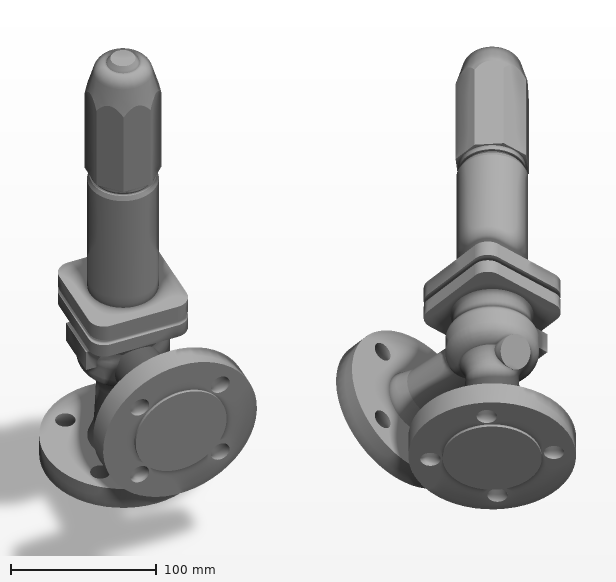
import cadquery as cq
import math

TOTAL_HEIGHT = 357.7
OUTLET_HEIGHT = 100.0
OUTLET_REACH = 100.0

FLANGE_DIA = 115.0
FLANGE_THICKNESS = 17.0
RAISED_FACE_DIA = 68.0
RAISED_FACE_HEIGHT = 2.0
FLANGE_DEPTH = FLANGE_THICKNESS + RAISED_FACE_HEIGHT
BOLT_CIRCLE_DIA = 85.0
BOLT_HOLE_DIA = 14.0
BOLT_HOLE_COUNT = 4

NECK_ROOT_RADIUS = 24.5
FLARE_LENGTH = 14.2
NECK_FLARE_RADIUS = 20.0
FLARE_SAG = 0.3
INLET_NECK_TOP = 67.7
INLET_NECK_RADIUS = 18.5
OUTLET_END_RADIUS = 16.1

BULGE_RADIUS = 32.2
BULGE_LOWER_EDGE = 94.7
BULGE_UPPER_EDGE = 104.5
BULGE_LOWER_ROUND = 12.0
UNDERSIDE_RADIUS = 22.3
UNDERSIDE_FILLET_SAG = 1.6
SHOULDER_RADIUS = 29.5
SHOULDER_HEIGHT = 110.7
COLLAR_RADIUS = 27.2
COLLAR_BOTTOM = 113.9
COLLAR_TOP = 123.9
COLLAR_LIP_RADIUS = 28.5
COLLAR_LIP_SAG = 0.4

SQUARE_WIDTH = 73.2
SQUARE_CORNER_RADIUS = 11.3
LOWER_SQUARE_BOTTOM = 127.0
LOWER_SQUARE_TOP = 137.3
UPPER_SQUARE_BOTTOM = 142.0
UPPER_SQUARE_TOP = 154.0
GASKET_RADIUS = 31.0
GASKET_TOP = 140.0
SPIGOT_RADIUS = 28.5

TUBE_RADIUS = 24.6
TUBE_TOP = 253.2
TUBE_TOP_CHAMFER_HEIGHT = 3.3
TUBE_TOP_RADIUS = 23.0
GROOVE_RADIUS = 21.0
GROOVE_TOP = 256.0
CAP_COLLAR_RADIUS = 23.0

CAP_SIDES = 8
CAP_ACROSS_FLATS = 48.6
CAP_BOTTOM = 259.6
CAP_CONE_BASE = 326.5
CAP_CONE_TOP = 347.0
CAP_CONE_TOP_RADIUS = 20.5
CAP_DOME_TOP = 353.8
CAP_DOME_TOP_RADIUS = 11.5
CAP_DOME_SAG = 2.0
CAP_BUTTON_RADIUS = 8.6

LABEL_WIDTH = 34.0
LABEL_BOTTOM = 102.2
LABEL_TOP = 118.3
LABEL_FRONT = 35.1

BOSS_DIA = 24.5
BOSS_TILT = 30.0
BOSS_FACE_X = -24.9
BOSS_FACE_Z = 78.9
BOSS_LENGTH = 25.0


def revolve_about_z(outline):
    return outline.close().revolve(360, (0, 0, 0), (0, 1, 0))


def flange():
    """Drilled pipe flange with its raised face on Z = 0 and its back facing +Z."""
    raised_face = cq.Workplane("XY").circle(RAISED_FACE_DIA / 2).extrude(FLANGE_DEPTH)
    disc = (
        cq.Workplane("XY", origin=(0, 0, RAISED_FACE_HEIGHT))
        .circle(FLANGE_DIA / 2)
        .extrude(FLANGE_THICKNESS)
    )
    holes = (
        cq.Workplane("XY")
        .polarArray(BOLT_CIRCLE_DIA / 2, 180 / BOLT_HOLE_COUNT, 360, BOLT_HOLE_COUNT)
        .circle(BOLT_HOLE_DIA / 2)
        .extrude(FLANGE_DEPTH)
    )
    return raised_face.union(disc).cut(holes)


def flanged_neck(end_height, end_radius):
    """Flange with a flared, tapering neck rising along +Z."""
    flare_top = FLANGE_DEPTH + FLARE_LENGTH
    neck = revolve_about_z(
        cq.Workplane("XZ")
        .moveTo(0, FLANGE_DEPTH)
        .lineTo(NECK_ROOT_RADIUS, FLANGE_DEPTH)
        .sagittaArc((NECK_FLARE_RADIUS, flare_top), FLARE_SAG)
        .lineTo(end_radius, end_height)
        .lineTo(0, end_height)
    )
    return flange().union(neck)


def inlet():
    return flanged_neck(INLET_NECK_TOP, INLET_NECK_RADIUS)


def outlet():
    return (
        flanged_neck(OUTLET_REACH, OUTLET_END_RADIUS)
        .rotate((0, 0, 0), (0, 1, 0), -90)
        .translate((OUTLET_REACH, 0, OUTLET_HEIGHT))
    )


def body():
    """Bulged body from the inlet neck up to the lower square flange."""
    round_offset = UNDERSIDE_RADIUS - (BULGE_RADIUS - BULGE_LOWER_ROUND)
    underside_height = BULGE_LOWER_EDGE - math.sqrt(BULGE_LOWER_ROUND**2 - round_offset**2)
    return revolve_about_z(
        cq.Workplane("XZ")
        .moveTo(0, INLET_NECK_TOP)
        .lineTo(INLET_NECK_RADIUS, INLET_NECK_TOP)
        .sagittaArc((UNDERSIDE_RADIUS, underside_height), UNDERSIDE_FILLET_SAG)
        .radiusArc((BULGE_RADIUS, BULGE_LOWER_EDGE), -BULGE_LOWER_ROUND)
        .lineTo(BULGE_RADIUS, BULGE_UPPER_EDGE)
        .tangentArcPoint((SHOULDER_RADIUS, SHOULDER_HEIGHT), relative=False)
        .tangentArcPoint((COLLAR_RADIUS, COLLAR_BOTTOM), relative=False)
        .lineTo(COLLAR_RADIUS, COLLAR_TOP)
        .sagittaArc((COLLAR_LIP_RADIUS, LOWER_SQUARE_BOTTOM), COLLAR_LIP_SAG)
        .lineTo(0, LOWER_SQUARE_BOTTOM)
    )


def square_flange(bottom, top):
    return (
        cq.Workplane("XY", origin=(0, 0, bottom))
        .rect(SQUARE_WIDTH, SQUARE_WIDTH)
        .extrude(top - bottom)
        .edges("|Z")
        .fillet(SQUARE_CORNER_RADIUS)
    )


def cylinder(radius, bottom, top):
    return cq.Workplane("XY", origin=(0, 0, bottom)).circle(radius).extrude(top - bottom)


def bonnet():
    flanges = square_flange(LOWER_SQUARE_BOTTOM, LOWER_SQUARE_TOP).union(
        square_flange(UPPER_SQUARE_BOTTOM, UPPER_SQUARE_TOP)
    )
    gasket = cylinder(GASKET_RADIUS, LOWER_SQUARE_TOP, GASKET_TOP)
    spigot = cylinder(SPIGOT_RADIUS, GASKET_TOP, UPPER_SQUARE_BOTTOM)
    tube = revolve_about_z(
        cq.Workplane("XZ")
        .moveTo(0, UPPER_SQUARE_TOP)
        .lineTo(TUBE_RADIUS, UPPER_SQUARE_TOP)
        .lineTo(TUBE_RADIUS, TUBE_TOP - TUBE_TOP_CHAMFER_HEIGHT)
        .lineTo(TUBE_TOP_RADIUS, TUBE_TOP)
        .lineTo(GROOVE_RADIUS, TUBE_TOP)
        .lineTo(GROOVE_RADIUS, GROOVE_TOP)
        .lineTo(CAP_COLLAR_RADIUS, GROOVE_TOP)
        .lineTo(CAP_COLLAR_RADIUS, CAP_BOTTOM)
        .lineTo(0, CAP_BOTTOM)
    )
    return flanges.union(gasket).union(spigot).union(tube)


def cap():
    """Octagonal cap turned down to a cone, a dome and a small button."""
    corner_radius = CAP_ACROSS_FLATS / 2 / math.cos(math.pi / CAP_SIDES)
    octagon = (
        cq.Workplane("XY", origin=(0, 0, CAP_BOTTOM))
        .polygon(CAP_SIDES, 2 * corner_radius)
        .extrude(TOTAL_HEIGHT - CAP_BOTTOM)
        .rotate((0, 0, 0), (0, 0, 1), 180 / CAP_SIDES)
    )
    turned = revolve_about_z(
        cq.Workplane("XZ")
        .moveTo(0, CAP_BOTTOM)
        .lineTo(corner_radius, CAP_BOTTOM)
        .lineTo(corner_radius, CAP_CONE_BASE)
        .lineTo(CAP_CONE_TOP_RADIUS, CAP_CONE_TOP)
        .sagittaArc((CAP_DOME_TOP_RADIUS, CAP_DOME_TOP), -CAP_DOME_SAG)
        .lineTo(CAP_BUTTON_RADIUS, TOTAL_HEIGHT)
        .lineTo(0, TOTAL_HEIGHT)
    )
    return octagon.intersect(turned)


def label_block():
    return (
        cq.Workplane("XY", origin=(0, -LABEL_FRONT / 2, LABEL_BOTTOM))
        .rect(LABEL_WIDTH, LABEL_FRONT)
        .extrude(LABEL_TOP - LABEL_BOTTOM)
    )


def drain_boss():
    tilt = math.radians(BOSS_TILT)
    inward = (math.cos(tilt), 0, math.sin(tilt))
    face = cq.Plane((BOSS_FACE_X, 0, BOSS_FACE_Z), xDir=(0, 1, 0), normal=inward)
    return cq.Workplane(face).circle(BOSS_DIA / 2).extrude(BOSS_LENGTH)


result = inlet()
for piece in (body(), outlet(), bonnet(), cap(), label_block(), drain_boss()):
    result = result.union(piece)